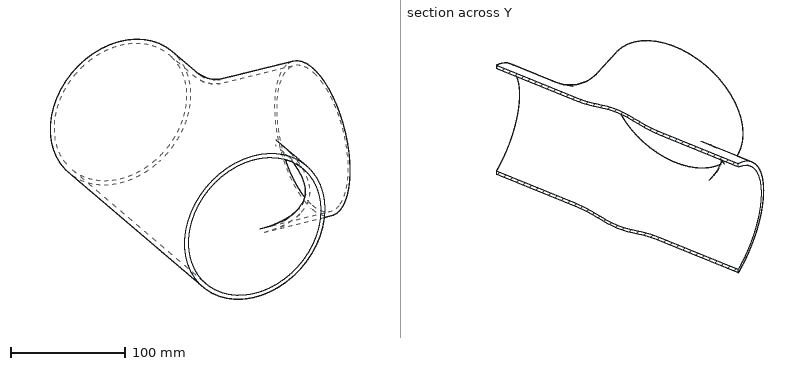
import cadquery as cq

run_length = 248
outer_diameter = 139.5
bore_diameter = 131.7
branch_length = 124
crotch_radius = 34.7

wall = (outer_diameter - bore_diameter) / 2
bore_crotch_radius = crotch_radius + wall


def blended_tee(diameter, blend_radius):
    """Solid tee whose crotch edges between run and branch are rounded."""
    run = cq.Workplane("YZ").circle(diameter / 2).extrude(run_length / 2, both=True)
    branch = cq.Workplane("XZ").circle(diameter / 2).extrude(-branch_length)
    return run.union(branch).edges("%ELLIPSE").fillet(blend_radius)


outer_body = blended_tee(outer_diameter, crotch_radius)
bore = blended_tee(bore_diameter, bore_crotch_radius)

result = outer_body.cut(bore)